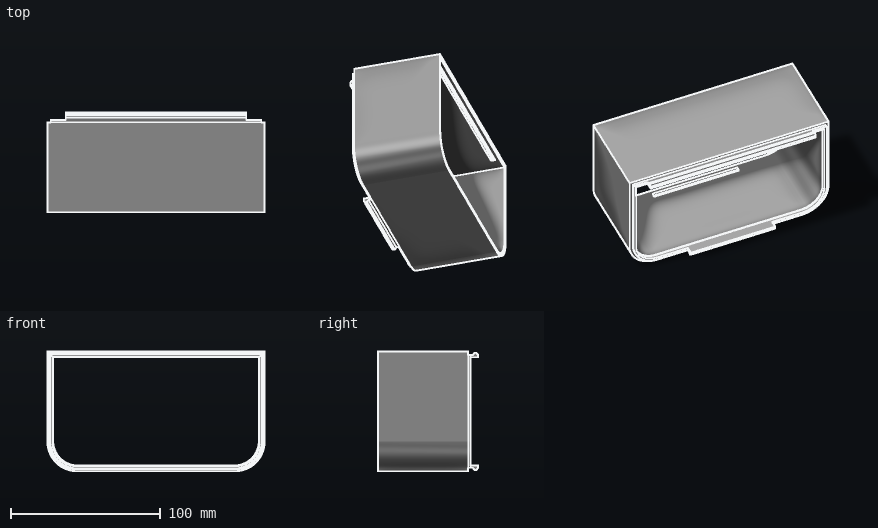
import cadquery as cq
import math

width = 145.0
height = 80.0
total_depth = 66.7
corner_radius = 20.0

body_depth = 60.0
wall = 2.0
rim_wall = 1.3
rim_chamfer_depth = 0.5

lip_inset = 2.3
opening_inset = 4.0
lip_length = 1.7
lip_end = body_depth + lip_length
ramp_setback = 1.2
ramp_end = body_depth - ramp_setback
ramp_length = 3.5
ramp_rise = 1.3
ramp_overlap = 0.6

top_clip_length = 120.4
bottom_clip_length = 61.5
ridge_inset = 0.9
ridge_crest = 1.2
ridge_base = 3.5
ridge_center = total_depth - ridge_base / 2
groove_center = ridge_center - body_depth
groove_floor_inset = 0.9


def section(inset, y):
    """Offset copy of the outer outline, on the plane at the given Y."""
    half = width / 2 - inset
    low = inset
    high = height - inset
    radius = corner_radius - inset
    diagonal = radius * (1 - 0.5 ** 0.5)
    return (
        cq.Workplane("XZ", origin=(0, y, 0))
        .moveTo(half, low + radius)
        .threePointArc((half - diagonal, low + diagonal), (half - radius, low))
        .lineTo(radius - half, low)
        .threePointArc((diagonal - half, low + diagonal), (-half, low + radius))
        .lineTo(-half, high)
        .lineTo(half, high)
        .close()
    )


def prism(inset, start, end):
    return section(inset, start).extrude(start - end)


def taper(start_inset, start, end_inset, end):
    """Solid blending between two offset outlines."""
    first = section(start_inset, start).wires().val()
    last = section(end_inset, end).wires().val()
    return cq.Workplane(obj=cq.Solid.makeLoft([first, last], True))


def ramp_ring():
    """Concave ramp inside the sleeve: tangent to the wall, ending in a flat step."""
    start = ramp_end - ramp_length
    arc_radius = (ramp_length ** 2 + ramp_rise ** 2) / (2 * ramp_rise)
    half_length = ramp_length / 2
    half_rise = arc_radius - math.sqrt(arc_radius ** 2 - half_length ** 2)
    face = width / 2 - wall
    profile = (
        cq.Workplane("XY", origin=(0, 0, corner_radius))
        .moveTo(face, start)
        .threePointArc((face - half_rise, start + half_length), (face - ramp_rise, ramp_end))
        .lineTo(width / 2 - opening_inset, ramp_end)
        .lineTo(width / 2 - opening_inset, body_depth)
        .lineTo(face + ramp_overlap, body_depth)
        .lineTo(face + ramp_overlap, start)
        .close()
    )
    return profile.sweep(section(wall, start), transition="right")


def bar(profile, length):
    """Extrude a (Y, Z) profile along X, centered on the part."""
    return cq.Workplane("YZ").polyline(profile).close().extrude(length / 2, both=True)


def at_edge(profile, on_top):
    """Turn (Y, inset) points into (Y, Z) points at the top or bottom edge."""
    return [(y, height - inset if on_top else inset) for y, inset in profile]


clip_profile = [
    (body_depth, opening_inset),
    (total_depth, opening_inset),
    (total_depth, lip_inset),
    (ridge_center + ridge_crest / 2, ridge_inset),
    (ridge_center - ridge_crest / 2, ridge_inset),
    (ridge_center - ridge_base / 2, lip_inset),
    (body_depth, lip_inset),
]
groove_profile = [
    (groove_center - ridge_base / 2, lip_inset),
    (groove_center - ridge_crest / 2, groove_floor_inset),
    (groove_center + ridge_crest / 2, groove_floor_inset),
    (groove_center + ridge_base / 2, lip_inset),
]

result = prism(0, 0, body_depth).union(prism(lip_inset, body_depth, lip_end))
result = result.cut(taper(rim_wall, 0, wall, rim_chamfer_depth))
result = result.cut(prism(wall, rim_chamfer_depth, ramp_end))
result = result.cut(prism(opening_inset, ramp_end, lip_end))
result = result.union(ramp_ring())

for on_top, length in ((True, top_clip_length), (False, bottom_clip_length)):
    result = result.union(bar(at_edge(clip_profile, on_top), length))
    result = result.cut(bar(at_edge(groove_profile, on_top), length))